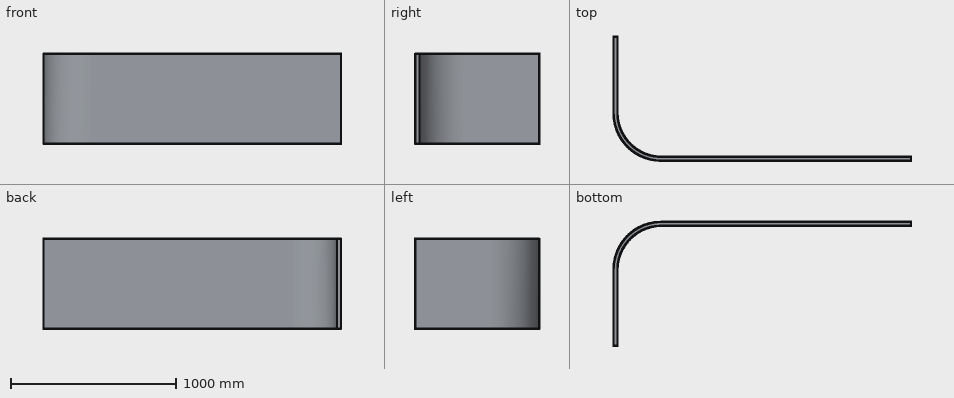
import cadquery as cq

length = 1800.0
width = 750.0
height = 545.0
thickness = 25.0
bend_radius = 290.0
edge_round = 5.0


def corner_block(offset):
    """Block with one rounded vertical corner, its two outer faces moved inward by offset."""
    return (
        cq.Workplane("XY")
        .box(length - offset, width - offset, height, centered=False)
        .translate((offset, offset, 0))
        .edges("|Z and <X and <Y")
        .fillet(bend_radius - offset)
    )


panel = corner_block(0).cut(corner_block(thickness))

outer_edges = panel.faces("<X or <Y").edges("#Z").add(
    panel.edges("%CIRCLE").edges(cq.selectors.RadiusNthSelector(-1))
)

result = outer_edges.fillet(edge_round)